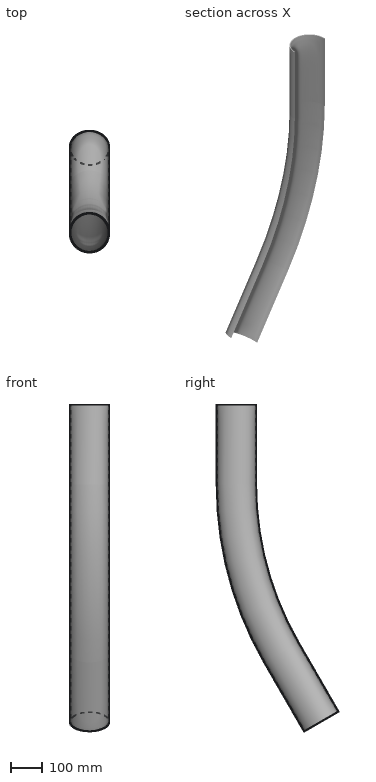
import cadquery as cq
import math

outer_diameter = 127.0
inner_diameter = 121.0
straight_length = 254.0
bend_radius = 1068.0
bend_angle = 30


def bend_point(angle):
    """Point (Y, Z) on the bend centreline, at an angle in degrees from its upper end."""
    turn = math.radians(angle)
    y = bend_radius * (1 - math.cos(turn))
    z = -straight_length - bend_radius * math.sin(turn)
    return y, z


bend_end = bend_point(bend_angle)
lower_mouth = (
    bend_end[0] + straight_length * math.sin(math.radians(bend_angle)),
    bend_end[1] - straight_length * math.cos(math.radians(bend_angle)),
)
centreline = (
    cq.Workplane("YZ")
    .lineTo(*bend_point(0))
    .threePointArc(bend_point(bend_angle / 2), bend_end)
    .lineTo(*lower_mouth)
)

result = (
    cq.Workplane("XY")
    .circle(outer_diameter / 2)
    .circle(inner_diameter / 2)
    .sweep(centreline)
)